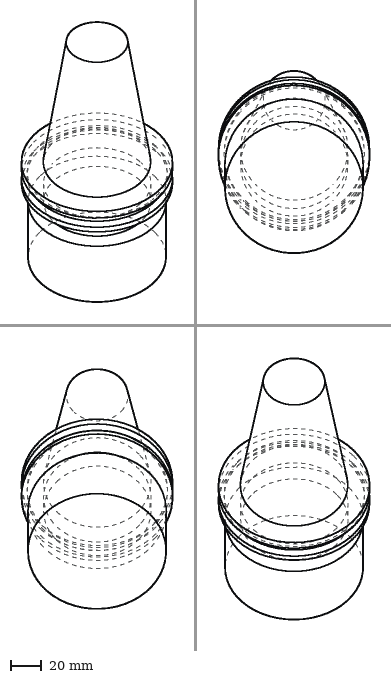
import cadquery as cq
import math

overall_length = 184.61
taper_length = 101.6
gauge_line_z = overall_length - taper_length

collar_height = 1.5
groove_center_drop = 11.1
flange_bottom_drop = 19.05
flange_top_z = gauge_line_z - collar_height
flange_bottom_z = gauge_line_z - flange_bottom_drop
groove_center_z = gauge_line_z - groove_center_drop
nose_length = 48.0

gauge_diameter = 69.85
flange_diameter = 98.43
groove_diameter = 91.29
nose_diameter = 89.99

taper_ratio = 7 / 24
taper_end_diameter = gauge_diameter - taper_ratio * taper_length

groove_floor_width = 3.75
groove_flank_angle = 30.0


def cylinder(diameter, bottom_z, top_z):
    """Solid cylinder on the Z axis between two heights."""
    base = cq.Workplane("XY").workplane(offset=bottom_z)
    return base.circle(diameter / 2).extrude(top_z - bottom_z)


def spin(profile):
    """Revolve a closed half-profile in the XZ plane fully around the Z axis."""
    full_turn = 360
    return profile.revolve(full_turn, (0, 0, 0), (0, 1, 0))


def taper_shank():
    """Conical shank narrowing upward from the gauge line."""
    small_radius = taper_end_diameter / 2
    profile = (
        cq.Workplane("XZ")
        .moveTo(0, gauge_line_z)
        .lineTo(gauge_diameter / 2, gauge_line_z)
        .lineTo(small_radius, overall_length)
        .lineTo(0, overall_length)
        .close()
    )
    return spin(profile)


def gripper_groove():
    """Ring of material removed from the flange rim, widening outward."""
    inner_radius = groove_diameter / 2
    outer_radius = flange_diameter / 2
    flank_height = (outer_radius - inner_radius) * math.tan(math.radians(groove_flank_angle))
    inner_half_width = groove_floor_width / 2
    outer_half_width = inner_half_width + flank_height
    profile = (
        cq.Workplane("XZ")
        .moveTo(inner_radius, groove_center_z - inner_half_width)
        .lineTo(outer_radius, groove_center_z - outer_half_width)
        .lineTo(outer_radius, groove_center_z + outer_half_width)
        .lineTo(inner_radius, groove_center_z + inner_half_width)
        .close()
    )
    return spin(profile)


nose = cylinder(nose_diameter, 0, nose_length)
core = cylinder(gauge_diameter, nose_length, gauge_line_z)
flange = cylinder(flange_diameter, flange_bottom_z, flange_top_z).cut(gripper_groove())

result = nose.union(core).union(flange).union(taper_shank())